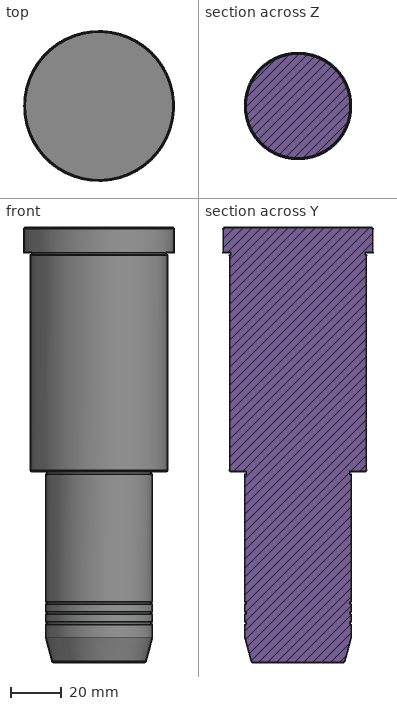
import cadquery as cq
import math

total_length = 171.0
head_height = 10.0
pin_length = 75.0
nose_height = 10.0
head_bottom_z = total_length - head_height

head_radius = 59.0 / 2
body_radius = 54.0 / 2
pin_radius = 42.0 / 2

nose_angle = 15.0
nose_end_radius = pin_radius - nose_height * math.tan(math.radians(nose_angle))

edge_chamfer = 0.5

relief_width = 1.0
relief_depth = 0.5
body_relief_run_out = 0.3

ring_groove_count = 3
ring_groove_pitch = 4.0
ring_groove_radius = 0.5
lowest_ring_groove_z = 15.5


def revolve_section(points):
    """Revolve a closed section of (radius, z) points, set on the -X side, about the Z axis."""
    section = [(-radius, z) for radius, z in points]
    return cq.Workplane("XZ").polyline(section).close().revolve(360, (0, 0), (0, 1))


def make_head():
    return revolve_section([
        (0, head_bottom_z),
        (head_radius, head_bottom_z),
        (head_radius, total_length - edge_chamfer),
        (head_radius - edge_chamfer, total_length),
        (0, total_length),
    ])


def make_body():
    """Body step: chamfered at the bottom, with a relief under the head that runs out on a cone."""
    relief_radius = body_radius - relief_depth
    relief_bottom_z = head_bottom_z - relief_width
    return revolve_section([
        (0, pin_length),
        (body_radius - edge_chamfer, pin_length),
        (body_radius, pin_length + edge_chamfer),
        (body_radius, relief_bottom_z),
        (relief_radius, relief_bottom_z + body_relief_run_out),
        (relief_radius, head_bottom_z),
        (0, head_bottom_z),
    ])


def make_pin():
    """Pin step with its tapered nose and a square relief under the body."""
    relief_radius = pin_radius - relief_depth
    relief_bottom_z = pin_length - relief_width
    chamfer_top_radius = nose_end_radius + edge_chamfer * math.tan(math.radians(nose_angle))
    return revolve_section([
        (0, 0),
        (nose_end_radius - edge_chamfer, 0),
        (chamfer_top_radius, edge_chamfer),
        (pin_radius, nose_height),
        (pin_radius, relief_bottom_z),
        (relief_radius, relief_bottom_z),
        (relief_radius, pin_length),
        (0, pin_length),
    ])


def make_ring_groove_cutter(center_z):
    """Torus centred on the pin surface, leaving a half-round groove when cut."""
    section = cq.Workplane("XZ").pushPoints([(-pin_radius, center_z)]).circle(ring_groove_radius)
    return section.revolve(360, (0, 0), (0, 1))


def cut_ring_grooves(pin):
    for index in range(ring_groove_count):
        pin = pin.cut(make_ring_groove_cutter(lowest_ring_groove_z + index * ring_groove_pitch))
    return pin


result = make_head().union(make_body()).union(cut_ring_grooves(make_pin()))